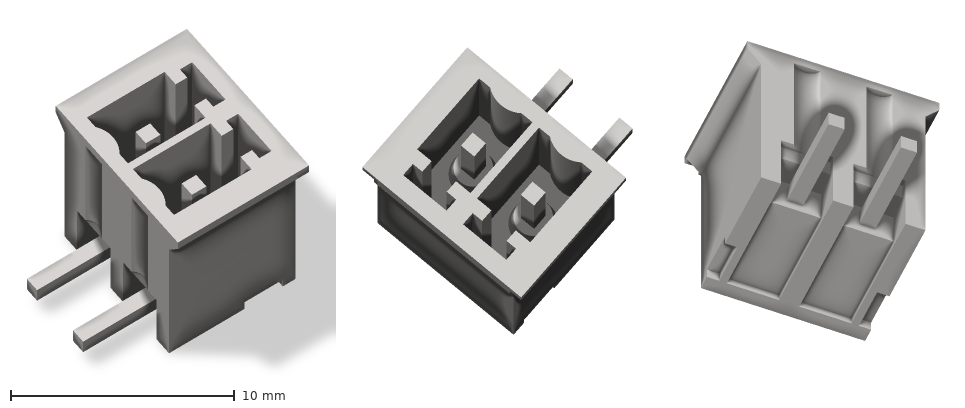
import cadquery as cq
import math


body_width = 7.96
body_depth = 6.98
height = 9.2
flange_width = 9.3
flange_lip = 0.5
flange_drop = 1.28
rear_strip_depth = 0.27
rear_strip_height = 2 * flange_lip

pitch = 3.5
pole_positions = (-pitch / 2, pitch / 2)

socket_width = 3.12
socket_front = 0.76
socket_back = 5.04
neck_width = 1.43
neck_back = 5.68
key_width = 2.53
key_back = 6.35
socket_floor = 2.56

bulge_width = 1.84
bulge_rise = 0.31
bulge_radius = ((bulge_width / 2) ** 2 + bulge_rise ** 2) / (2 * bulge_rise)
arc_center_y = socket_front + bulge_rise - bulge_radius
groove_width = 1.28
groove_radius = math.hypot(groove_width / 2, arc_center_y)
groove_top = height - flange_lip

collar_base_radius = 1.11
collar_top_radius = 0.88
collar_height = 1.2

contact_width = 0.78
contact_thickness = 0.8
contact_y = 2.99
contact_top = 7.92
tail_length = 3.41
tail_z = 1.19

recess_width = 2.52
recess_top = 3.02
recess_depth = 0.34
pocket_depth = 1.42
pocket_mouth_top = 2.23
pocket_back_top = 2.01
relief_height = 0.34
slot_front = 4.16
slot_back = 6.27
slot_height = 0.51
slot_depth = 0.6


def block(x_center, width, y_range, z_range):
    """Axis-aligned block, centred on x_center along X."""
    y0, y1 = y_range
    z0, z1 = z_range
    corner = (x_center - width / 2, y0, z0)
    return cq.Workplane("XY").box(width, y1 - y0, z1 - z0, centered=False).translate(corner)


def housing():
    half_body = body_width / 2
    half_flange = flange_width / 2
    taper_z = height - flange_drop
    lip_z = height - flange_lip
    profile = [
        (-half_body, 0),
        (half_body, 0),
        (half_body, taper_z),
        (half_flange, lip_z),
        (half_flange, height),
        (-half_flange, height),
        (-half_flange, lip_z),
        (-half_body, taper_z),
    ]
    body = cq.Workplane("XZ").polyline(profile).close().extrude(-body_depth)
    rear = (body_depth, body_depth + rear_strip_depth)
    lip = block(0, flange_width, rear, (lip_z, height))
    strip = block(0, body_width, rear, (height - rear_strip_height, height))
    return body.union(lip).union(strip)


def socket(x):
    """Keyed opening: main chamber, neck and wider key slot."""
    levels = (socket_floor, height)
    chamber = block(x, socket_width, (socket_front, socket_back), levels)
    neck = block(x, neck_width, (socket_back, neck_back), levels)
    key = block(x, key_width, (neck_back, key_back), levels)
    bulge = (
        cq.Workplane("XY", origin=(x, arc_center_y, socket_floor))
        .circle(bulge_radius)
        .extrude(height - socket_floor)
    )
    return chamber.cut(bulge).union(neck).union(key)


def contact_collar(x):
    """Low conical collar around the contact, standing on the socket floor."""
    return (
        cq.Workplane("XY", origin=(x, contact_y, socket_floor))
        .circle(collar_base_radius)
        .workplane(offset=collar_height)
        .circle(collar_top_radius)
        .loft()
    )


def front_groove(x):
    return (
        cq.Workplane("XY", origin=(x, arc_center_y, recess_top))
        .circle(groove_radius)
        .extrude(groove_top - recess_top)
    )


def front_recess(x):
    """Shallow recess whose ceiling steps back and down to a deeper pocket, plus the underside relief."""
    profile = [
        (0, 0),
        (0, recess_top),
        (recess_depth, recess_top),
        (recess_depth, pocket_mouth_top),
        (pocket_depth, pocket_back_top),
        (pocket_depth, relief_height),
        (slot_back, relief_height),
        (slot_back, 0),
    ]
    left_side = x - recess_width / 2
    return cq.Workplane("YZ", origin=(left_side, 0, 0)).polyline(profile).close().extrude(recess_width)


def contact(x):
    """Square pin standing in the socket, bent forward into a straight tail."""
    half = contact_thickness / 2
    tail_levels = (tail_z - half, tail_z + half)
    tail = block(x, contact_width, (-tail_length, contact_y + half), tail_levels)
    post = block(x, contact_width, (contact_y - half, contact_y + half), (tail_z - half, contact_top))
    return tail.union(post)


result = housing()
for side in (-1, 1):
    slot_x = side * (body_width - slot_depth) / 2
    result = result.cut(block(slot_x, slot_depth, (slot_front, slot_back), (0, slot_height)))
for pole_x in pole_positions:
    result = result.cut(socket(pole_x))
    result = result.cut(front_groove(pole_x))
    result = result.cut(front_recess(pole_x))
    result = result.union(contact_collar(pole_x)).union(contact(pole_x))